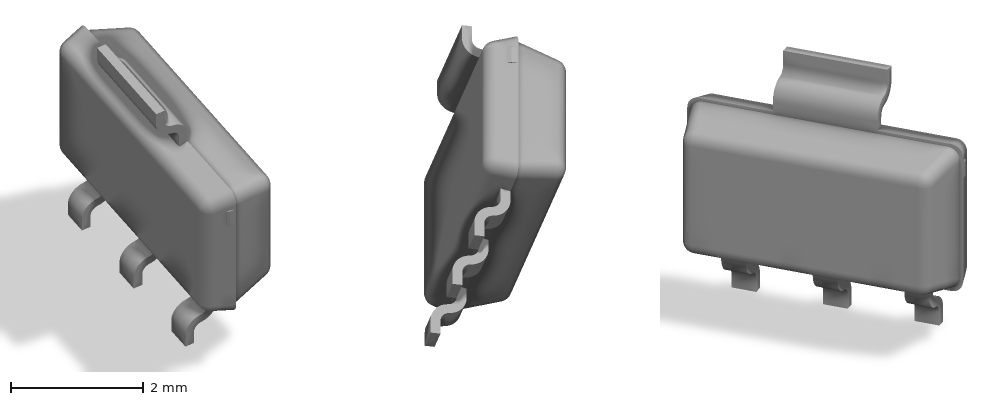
import cadquery as cq
import math


body_width = 4.51
body_height = 2.48
parting_step = 0.055
front_depth = 0.5
back_depth = 0.82
draft_angle = 13.0
body_fillet = 0.2

overall_height = 4.16
sheet_thickness = 0.155
foot_offset = 0.405
foot_length = 0.23
bend_radius = 0.225
lead_embed = 0.27
lead_width = 0.405
lead_pitch = 1.497
tab_width = 1.71

tie_bar_end = 2.25
tie_bar_height = 0.26
tie_bar_center_z = 0.825
tie_bar_embed = 0.18
tie_bar_chamfer_y = 0.045
tie_bar_chamfer_x = 0.023


def body_half(width, height, depth, y_direction):
    """Drafted block growing from the parting plane, rounded except at that plane."""
    plane = cq.Plane(origin=(0, 0, 0), xDir=(1, 0, 0), normal=(0, y_direction, 0))
    half = cq.Workplane(plane).rect(width, height).extrude(depth, taper=draft_angle)
    parting_side = "<Y" if y_direction > 0 else ">Y"
    return half.edges(f"not({parting_side})").fillet(body_fillet)


def gull_wing(width, center_x):
    """Lead leaving the top of the body, stepping towards -Y and ending in a foot."""
    bend_angle = math.acos(1 - foot_offset / (2 * bend_radius))
    foot_tip_z = overall_height / 2
    second_bend_z = foot_tip_z - foot_length
    first_bend_z = second_bend_z - 2 * bend_radius * math.sin(bend_angle)
    root_z = body_height / 2 - lead_embed
    middle_y = -sheet_thickness / 2
    first_center_y = middle_y - bend_radius
    second_center_y = middle_y - foot_offset + bend_radius
    outer_radius = bend_radius + sheet_thickness / 2
    inner_radius = bend_radius - sheet_thickness / 2

    def first_bend(radius, angle):
        return (first_center_y + radius * math.cos(angle), first_bend_z + radius * math.sin(angle))

    def second_bend(radius, angle):
        return (second_center_y - radius * math.cos(angle), second_bend_z - radius * math.sin(angle))

    half_angle = bend_angle / 2
    outline = (
        cq.Workplane("YZ", origin=(center_x - width / 2, 0, 0))
        .moveTo(0, root_z)
        .lineTo(*first_bend(outer_radius, 0))
        .threePointArc(first_bend(outer_radius, half_angle), first_bend(outer_radius, bend_angle))
        .threePointArc(second_bend(inner_radius, half_angle), second_bend(inner_radius, 0))
        .lineTo(-foot_offset, foot_tip_z)
        .lineTo(-foot_offset - sheet_thickness, foot_tip_z)
        .lineTo(*second_bend(outer_radius, 0))
        .threePointArc(second_bend(outer_radius, half_angle), second_bend(outer_radius, bend_angle))
        .threePointArc(first_bend(inner_radius, half_angle), first_bend(inner_radius, 0))
        .lineTo(-sheet_thickness, root_z)
        .close()
    )
    return outline.extrude(width)


def tie_bar():
    """Tie bar end on the +X side, chamfered along its front edge."""
    start_x = tie_bar_end - tie_bar_embed
    return (
        cq.Workplane("XY", origin=(0, 0, tie_bar_center_z - tie_bar_height / 2))
        .moveTo(start_x, 0)
        .lineTo(tie_bar_end, 0)
        .lineTo(tie_bar_end, tie_bar_chamfer_y - sheet_thickness)
        .lineTo(tie_bar_end - tie_bar_chamfer_x, -sheet_thickness)
        .lineTo(start_x, -sheet_thickness)
        .close()
        .extrude(tie_bar_height)
    )


front_half = body_half(body_width, body_height, front_depth, -1)
back_half = body_half(body_width - 2 * parting_step, body_height - 2 * parting_step, back_depth, 1)
result = front_half.union(back_half)

result = result.union(gull_wing(tab_width, 0))
for position in (-1, 0, 1):
    result = result.union(gull_wing(lead_width, position * lead_pitch).mirror("XY"))

result = result.union(tie_bar()).union(tie_bar().mirror("YZ"))